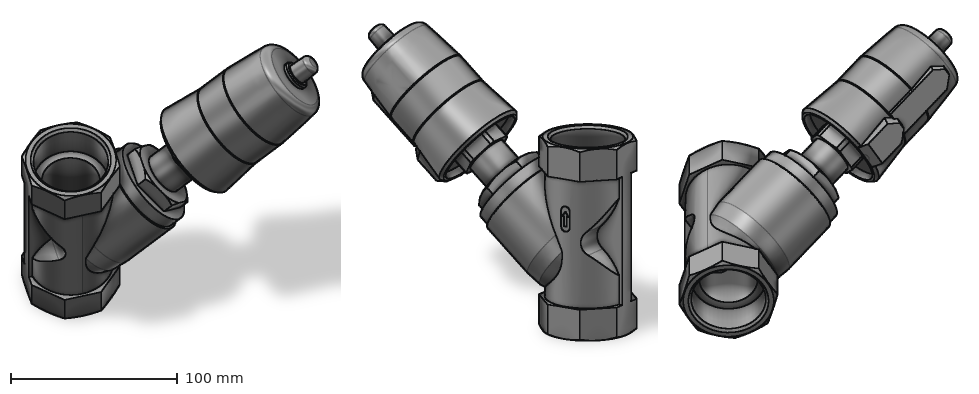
import cadquery as cq
import math

body_length = 120.0
end_flats = 55.0
end_height = 20.0
end_chamfer_diameter = 54.4
end_chamfer_angle = 30.0
pipe_diameter = 51.7
bore_diameter = 35.0
thread_diameter = 44.84
thread_depth = 21.0
thread_mouth_diameter = 48.2
rib_width = 10.3

groove_top = (-26.6, 30.0)
groove_upper_mid = (-18.7, 14.2)
groove_upper_end = (-13.2, 7.8)
groove_floor = (-9.8, 0.8)
groove_lower_end = (-13.6, -6.7)
groove_lower_mid = (-20.0, -13.0)
groove_bottom = (-26.6, -25.0)
groove_mouth = -35.0
groove_wall = 2.3
ridge_radius = 16.0

mark_height = 14.6
mark_length = 15.7
mark_width = 6.2
mark_depth = 0.4
arrow_length = 9.2
arrow_shaft_width = 2.0
arrow_head_width = 4.4
arrow_head_length = 3.0

axis_angle = 40.0
axis_offset = 17.0

neck_radius = 29.0
neck_foot = -9.0
neck_foot_radius = 25.3
neck_bend = -2.0
neck_bend_radius = 28.0
neck_straight_start = 8.0
neck_top = 45.0
flange_radius = 27.5
flange_top = 53.0
bonnet_nut_flats = 41.0
bonnet_nut_circle = 41.8
bonnet_nut_top = 61.0
stem_radius = 13.0
stem_nut_flats = 30.0
stem_nut_circle = 33.0
stem_nut_bottom = 79.0
nut_chamfer_angle = 30.0

housing_bottom = 85.0
housing_bottom_radius = 29.0
housing_rim = 87.0
housing_rim_radius = 30.735
skirt_mid = (29.2, 100.3)
lower_seam = 114.2
upper_seam = 135.0
barrel_radius = 27.95
cap_mid = (26.75, 149.0)
cap_edge = 162.5
cap_edge_radius = 25.3
cap_fillet = 4.9
seam_width = 0.6
seam_depth = 0.2
recess_radius = 27.3
recess_depth = 5.0

collar_radius = 9.1
collar_edge = 169.2
collar_top = 170.0
collar_top_radius = 8.0
nipple_root_radius = 6.5
nipple_edge = 179.68
nipple_edge_radius = 6.1
nipple_fillet = 2.9

pad_half_width = 8.5
pad_corner_cut = 6.0
slim_pad_reach = 29.0
slim_pad_top = 159.0
deep_pad_reach = 33.8
deep_pad_top = 114.0
deep_pad_chamfer = 5.0
pad_end_slope = 0.45


def regular_prism(sides, flats, bottom, top, vertex_angle):
    """Prism along Z with one corner at the given angle from +X."""
    corner_diameter = flats / math.cos(math.pi / sides)
    prism = cq.Workplane("XY").polygon(sides, corner_diameter).extrude(top - bottom)
    return prism.rotate((0, 0, 0), (0, 0, 1), vertex_angle).translate((0, 0, bottom))


def revolve_profile(sketch):
    """Revolve an (r, z) profile about the Z axis."""
    return sketch.close().revolve(360, (0, 0, 0), (0, 1, 0))


def chamfered_end():
    """Octagonal end resting on Z = 0 with its upper corners turned off."""
    octagon = regular_prism(8, end_flats, 0, end_height, 22.5)
    face_radius = end_chamfer_diameter / 2
    slope = math.tan(math.radians(end_chamfer_angle))
    outer_radius = end_flats
    turned_profile = (
        cq.Workplane("XZ")
        .lineTo(outer_radius, 0)
        .lineTo(outer_radius, end_height - (outer_radius - face_radius) * slope)
        .lineTo(face_radius, end_height)
        .lineTo(0, end_height)
    )
    return octagon.intersect(revolve_profile(turned_profile))


def pipe():
    half = body_length / 2
    tube = cq.Workplane("XY").circle(pipe_diameter / 2).extrude(half, both=True)
    end = chamfered_end().translate((0, 0, half - end_height))
    return tube.union(end).union(end.mirror("XY"))


def cross_groove():
    """Groove along X, interrupted by the front rib."""
    groove = (
        cq.Workplane("YZ")
        .moveTo(groove_mouth, groove_top[1])
        .lineTo(*groove_top)
        .threePointArc(groove_upper_mid, groove_upper_end)
        .threePointArc(groove_floor, groove_lower_end)
        .threePointArc(groove_lower_mid, groove_bottom)
        .lineTo(groove_mouth, groove_bottom[1])
        .close()
        .extrude(end_flats, both=True)
    )
    rib = cq.Workplane("XY").box(rib_width, 2 * end_flats, body_length)
    return groove.cut(rib)


def front_rib():
    depth = (end_flats - bore_diameter) / 4
    centre = (end_flats - depth) / 2
    return cq.Workplane("XY").box(rib_width, depth, body_length - end_height).translate((0, -centre, 0))


def flow_passage():
    """Bore, narrowed by the wall behind the groove, with a thread hole at each end."""
    half = body_length / 2
    bore = cq.Workplane("XY").circle(bore_diameter / 2).extrude(half, both=True)
    ridge_centre = groove_floor[0] + groove_wall - ridge_radius
    ridge = cq.Workplane("YZ").center(ridge_centre, groove_floor[1]).circle(ridge_radius)
    bore = bore.cut(ridge.extrude(bore_diameter, both=True))
    mouth_depth = (thread_mouth_diameter - thread_diameter) / 2
    thread_profile = (
        cq.Workplane("XZ")
        .moveTo(0, half - thread_depth)
        .lineTo(thread_diameter / 2, half - thread_depth)
        .lineTo(thread_diameter / 2, half - mouth_depth)
        .lineTo(thread_mouth_diameter / 2, half)
        .lineTo(0, half)
    )
    thread = revolve_profile(thread_profile)
    return bore.union(thread).union(thread.mirror("XY"))


def flow_mark():
    """Shallow slot with an upright arrow left standing in it."""
    half_shaft = arrow_shaft_width / 2
    half_head = arrow_head_width / 2
    half_arrow = arrow_length / 2
    head_base = half_arrow - arrow_head_length
    side = cq.Workplane("YZ", origin=(-pipe_diameter / 2, 0, mark_height))
    slot = side.slot2D(mark_length, mark_width, 90).extrude(mark_depth, both=True)
    arrow = (
        side.moveTo(-half_shaft, -half_arrow)
        .lineTo(half_shaft, -half_arrow)
        .lineTo(half_shaft, head_base)
        .lineTo(half_head, head_base)
        .lineTo(0, half_arrow)
        .lineTo(-half_head, head_base)
        .lineTo(-half_shaft, head_base)
        .close()
        .extrude(mark_depth, both=True)
    )
    return slot.cut(arrow)


def neck():
    profile = (
        cq.Workplane("XZ")
        .moveTo(0, neck_foot)
        .lineTo(neck_foot_radius, neck_foot)
        .lineTo(neck_bend_radius, neck_bend)
        .lineTo(neck_radius, neck_straight_start)
        .lineTo(neck_radius, neck_top)
        .lineTo(flange_radius, neck_top)
        .lineTo(flange_radius, flange_top)
        .lineTo(0, flange_top)
    )
    return revolve_profile(profile)


def bonnet_nut():
    """Hexagon nut whose upper corners are turned off."""
    nut = regular_prism(6, bonnet_nut_flats, flange_top, bonnet_nut_top, 0)
    face_radius = bonnet_nut_circle / 2
    corner_radius = bonnet_nut_flats / math.sqrt(3)
    drop = (corner_radius - face_radius) * math.tan(math.radians(nut_chamfer_angle))
    turned_profile = (
        cq.Workplane("XZ")
        .moveTo(0, flange_top)
        .lineTo(corner_radius, flange_top)
        .lineTo(corner_radius, bonnet_nut_top - drop)
        .lineTo(face_radius, bonnet_nut_top)
        .lineTo(0, bonnet_nut_top)
    )
    return nut.intersect(revolve_profile(turned_profile))


def stem():
    """Stem and its nut, both reaching up to the floor of the housing recess."""
    top = housing_bottom + recess_depth
    rod = cq.Workplane("XY", origin=(0, 0, flange_top)).circle(stem_radius).extrude(top - flange_top)
    nut = regular_prism(6, stem_nut_flats, stem_nut_bottom, top, 0)
    round_bar = cq.Workplane("XY").circle(stem_nut_circle / 2).extrude(top)
    return rod.union(nut.intersect(round_bar))


def seam_groove(height):
    """Ring that cuts a fine seam into the housing wall."""
    base = cq.Workplane("XY", origin=(0, 0, height - seam_width / 2))
    return base.circle(housing_rim_radius).circle(barrel_radius - seam_depth).extrude(seam_width)


def housing():
    fillet_middle = cap_fillet * math.sqrt(0.5)
    top_radius = cap_edge_radius - cap_fillet
    profile = (
        cq.Workplane("XZ")
        .moveTo(0, housing_bottom)
        .lineTo(housing_bottom_radius, housing_bottom)
        .lineTo(housing_rim_radius, housing_rim)
        .threePointArc(skirt_mid, (barrel_radius, lower_seam))
        .lineTo(barrel_radius, upper_seam)
        .threePointArc(cap_mid, (cap_edge_radius, cap_edge))
        .threePointArc(
            (top_radius + fillet_middle, cap_edge + fillet_middle),
            (top_radius, cap_edge + cap_fillet),
        )
        .lineTo(0, cap_edge + cap_fillet)
    )
    shell = revolve_profile(profile)
    shell = shell.cut(seam_groove(lower_seam))
    return shell.cut(seam_groove(upper_seam))


def housing_recess():
    return cq.Workplane("XY", origin=(0, 0, housing_bottom)).circle(recess_radius).extrude(recess_depth)


def nipple():
    top_radius = nipple_edge_radius - nipple_fillet
    fillet_middle = nipple_fillet * math.sqrt(0.5)
    profile = (
        cq.Workplane("XZ")
        .moveTo(0, cap_edge)
        .lineTo(collar_radius, cap_edge)
        .lineTo(collar_radius, collar_edge)
        .lineTo(collar_top_radius, collar_top)
        .lineTo(nipple_root_radius, collar_top)
        .lineTo(nipple_edge_radius, nipple_edge)
        .threePointArc(
            (top_radius + fillet_middle, nipple_edge + fillet_middle),
            (top_radius, nipple_edge + nipple_fillet),
        )
        .lineTo(0, nipple_edge + nipple_fillet)
    )
    return revolve_profile(profile)


def underside_pad(reach, bottom, top):
    """Pad under the housing whose upper end is sloped and cut off at the corners."""
    pad = (
        cq.Workplane("YZ")
        .moveTo(0, bottom)
        .lineTo(-reach, bottom)
        .lineTo(-reach, top)
        .lineTo(0, top + pad_end_slope * reach)
        .close()
        .extrude(pad_half_width, both=True)
    )
    return pad.faces(">Z").edges("not |X").chamfer(pad_corner_cut)


def actuator():
    """Everything on the inclined axis above the bonnet, built along Z."""
    unit = housing()
    slim_pad = underside_pad(slim_pad_reach, lower_seam, slim_pad_top)
    deep_pad = underside_pad(deep_pad_reach, housing_bottom, deep_pad_top)
    deep_pad = deep_pad.faces("<Y").edges("<Z").chamfer(deep_pad_chamfer)
    unit = unit.union(slim_pad).union(deep_pad)
    unit = unit.cut(housing_recess())
    return unit.union(nipple())


def incline(shape):
    """Move a shape built along Z onto the inclined axis."""
    lean = math.radians(axis_angle)
    axis_plane = cq.Plane(
        origin=(0, axis_offset * math.sin(lean), -axis_offset * math.cos(lean)),
        xDir=(-1, 0, 0),
        normal=(0, math.cos(lean), math.sin(lean)),
    )
    return cq.Workplane("XY").newObject([shape.val().moved(cq.Location(axis_plane))])


body = pipe().union(incline(neck())).union(front_rib())
body = body.cut(cross_groove()).cut(flow_passage()).cut(flow_mark())
upper_works = bonnet_nut().union(stem()).union(actuator())
result = body.union(incline(upper_works))